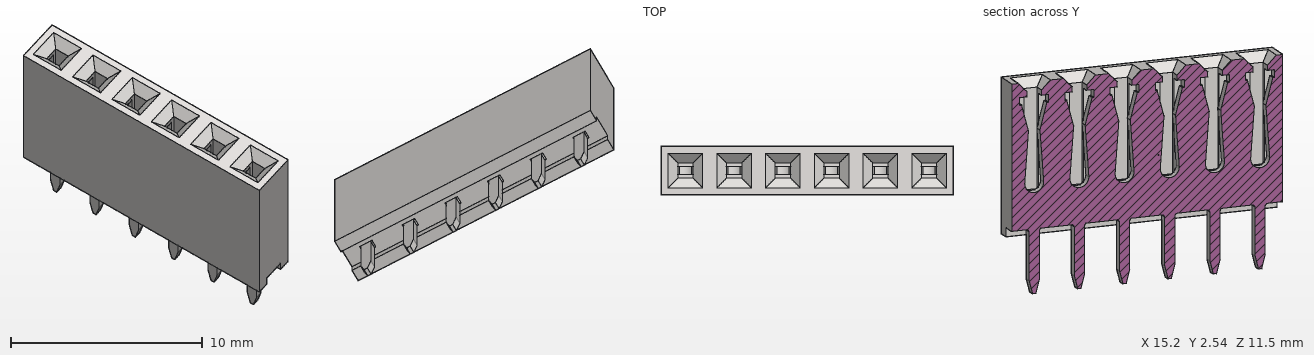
import cadquery as cq
import math

pin_count = 6
pitch = 2.54
housing_length = pin_count * pitch
housing_width = 2.54
housing_height = 8.5
channel_width = 1.2
channel_height = 0.5

mouth_size = 1.8
throat_size = 0.8
lead_in_depth = (mouth_size - throat_size) / 2
throat_floor_z = 2.5
throat_top_z = housing_height - lead_in_depth
slot_cover = 0.3
slot_top_z = throat_top_z - slot_cover
slot_half_width = 0.8

blade_thickness = 0.4
pin_half_width = 0.3
pin_length = 3.0
tip_half_width = 0.1
tip_length = 0.75
shoulder_drop = 0.1
shoulder_z = channel_height - shoulder_drop
shoulder_angle = 35.0

fork_top_clearance = 0.4
fork_top_z = slot_top_z - fork_top_clearance
tine_end_half_gap = 0.7
grip_half_gap = 0.31
flare_angle = 15.0
root_radius = 0.52

shoulder_top_z = shoulder_z + (slot_half_width - pin_half_width) / math.tan(math.radians(shoulder_angle))
grip_z = fork_top_z - (tine_end_half_gap - grip_half_gap) / math.tan(math.radians(flare_angle))
root_center_z = throat_floor_z + root_radius


def make_housing():
    """Solid block with an open channel along its underside."""
    block = cq.Workplane("XY").box(
        housing_length, housing_width, housing_height, centered=(True, True, False)
    )
    channel = cq.Workplane("XY").box(
        housing_length, channel_width, channel_height, centered=(True, True, False)
    )
    return block.cut(channel)


def make_socket():
    """Empty space of one socket, centred on x = 0."""
    lead_in = (
        cq.Workplane("XY", origin=(0, 0, housing_height))
        .rect(mouth_size, mouth_size)
        .workplane(offset=-lead_in_depth)
        .rect(throat_size, throat_size)
        .loft(ruled=True)
    )
    throat = (
        cq.Workplane("XY", origin=(0, 0, throat_floor_z))
        .rect(throat_size, throat_size)
        .extrude(throat_top_z - throat_floor_z)
    )
    slot = (
        cq.Workplane("XY", origin=(0, 0, throat_floor_z))
        .rect(2 * slot_half_width, blade_thickness)
        .extrude(slot_top_z - throat_floor_z)
    )
    return lead_in.union(throat).union(slot)


def make_contact():
    """One flat contact in the XZ plane, centred on x = 0."""
    return (
        cq.Workplane("XZ")
        .moveTo(-tip_half_width, -pin_length)
        .lineTo(tip_half_width, -pin_length)
        .lineTo(pin_half_width, tip_length - pin_length)
        .lineTo(pin_half_width, shoulder_z)
        .lineTo(slot_half_width, shoulder_top_z)
        .lineTo(slot_half_width, fork_top_z)
        .lineTo(tine_end_half_gap, fork_top_z)
        .lineTo(grip_half_gap, grip_z)
        .lineTo(root_radius, root_center_z)
        .threePointArc((0, throat_floor_z), (-root_radius, root_center_z))
        .lineTo(-grip_half_gap, grip_z)
        .lineTo(-tine_end_half_gap, fork_top_z)
        .lineTo(-slot_half_width, fork_top_z)
        .lineTo(-slot_half_width, shoulder_top_z)
        .lineTo(-pin_half_width, shoulder_z)
        .lineTo(-pin_half_width, tip_length - pin_length)
        .close()
        .extrude(blade_thickness / 2, both=True)
    )


result = make_housing()
socket = make_socket()
contact = make_contact()
for index in range(pin_count):
    position = ((index - (pin_count - 1) / 2) * pitch, 0, 0)
    result = result.cut(socket.translate(position))
    result = result.union(contact.translate(position))